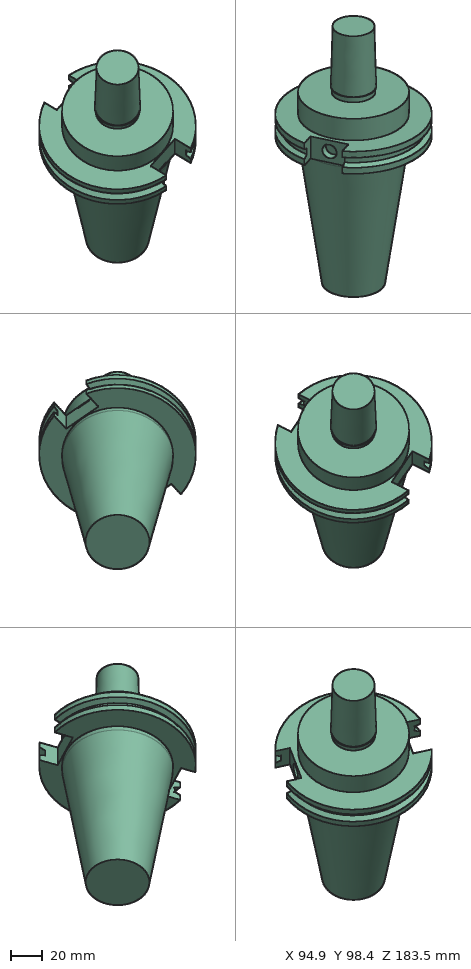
import cadquery as cq

total_height = 183.5

gauge_height = 101.7
gauge_radius = 34.9
shank_end_radius = 20.0

flange_radius = 49.2
flange_bottom = 104.8
flange_thickness = 16.0
flange_top = flange_bottom + flange_thickness
flange_middle = flange_bottom + flange_thickness / 2
groove_mouth_width = 7.2
groove_floor_width = 4.0
groove_floor_radius = 45.5

boss_top = 136.4

neck_radius = 13.8
neck_top = 140.2
chuck_taper_base_radius = 14.3
chuck_taper_end_radius = 13.2

slot_width = 25.9
slot_floor_left = 37.8
slot_floor_right = 35.2

hole_diameter = 9.7
hole_depth = 5.5


def turned_body():
    """Revolve the half profile, given as (radius, height), about Z."""
    profile = [
        (0, 0),
        (shank_end_radius, 0),
        (gauge_radius, gauge_height),
        (gauge_radius, flange_bottom),
        (flange_radius, flange_bottom),
        (flange_radius, flange_middle - groove_mouth_width / 2),
        (groove_floor_radius, flange_middle - groove_floor_width / 2),
        (groove_floor_radius, flange_middle + groove_floor_width / 2),
        (flange_radius, flange_middle + groove_mouth_width / 2),
        (flange_radius, flange_top),
        (gauge_radius, flange_top),
        (gauge_radius, boss_top),
        (neck_radius, boss_top),
        (neck_radius, neck_top),
        (chuck_taper_base_radius, neck_top),
        (chuck_taper_end_radius, total_height),
        (0, total_height),
    ]
    return cq.Workplane("XZ").polyline(profile).close().revolve(360, (0, 0), (0, 1))


def drive_slot(side, floor_distance):
    """Cutter for one slot, on side -1 (-X) or +1 (+X), running out past the rim."""
    cutter_length = flange_radius
    return (
        cq.Workplane("XY")
        .box(cutter_length, slot_width, flange_thickness)
        .translate((side * (floor_distance + cutter_length / 2), 0, flange_middle))
    )


def slot_hole():
    """Cutter for the hole running along +X from the floor of the left slot."""
    return (
        cq.Workplane("YZ", origin=(-slot_floor_left, 0, flange_middle))
        .circle(hole_diameter / 2)
        .extrude(hole_depth)
    )


result = turned_body()
for side, floor_distance in ((-1, slot_floor_left), (1, slot_floor_right)):
    result = result.cut(drive_slot(side, floor_distance))
result = result.cut(slot_hole())